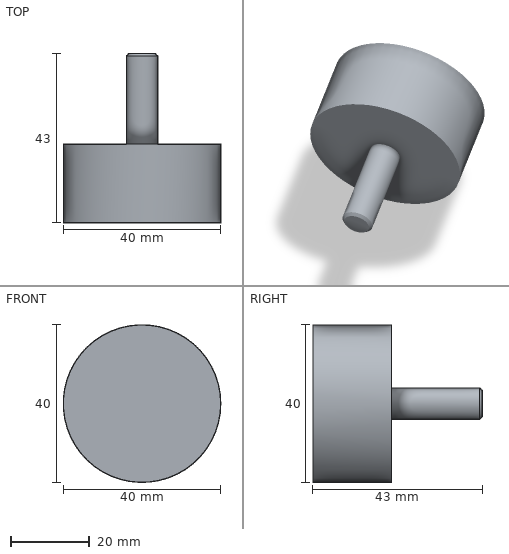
import cadquery as cq

total_length = 43.0
buffer_diameter = 40.0
buffer_length = 20.0
stud_diameter = 8.0
tip_chamfer = 0.7

stud_length = total_length - buffer_length


def make_buffer():
    """Plain cylinder from the front face at Y = 0 to the stud base."""
    return cq.Workplane("XZ").circle(buffer_diameter / 2).extrude(-buffer_length)


def make_stud():
    """Stud standing on the back face, with a chamfered tip."""
    stud_start = cq.Workplane("XZ", origin=(0, buffer_length, 0))
    stud = stud_start.circle(stud_diameter / 2).extrude(-stud_length)
    return stud.faces(">Y").chamfer(tip_chamfer)


buffer = make_buffer()
stud = make_stud()

result = cq.Compound.makeCompound([buffer.val(), stud.val()])